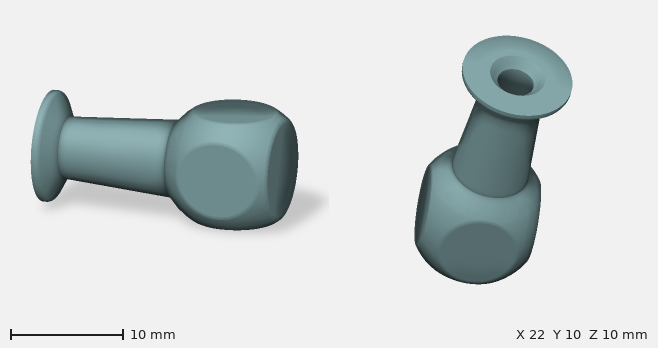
import cadquery as cq
import math

total_length = 22.0
across_flats = 10.0

flange_radius = across_flats / 2
flange_rim_length = 0.6
flange_fillet_radius = 0.45

neck_start = 1.8
neck_end = 12.0
neck_end_radius = 3.5
neck_taper_deg = 4.0

ball_center_x = 17.5
arc_center_offset = 1.0
flat_fillet_radius = 0.5

thread_hole_radius = 1.65
countersink_radius = 2.5
countersink_depth = countersink_radius - thread_hole_radius
hole_depth = 12.0
drill_point_deg = 118.0

neck_start_radius = neck_end_radius - (neck_end - neck_start) * math.tan(math.radians(neck_taper_deg))
ball_arc_radius = math.hypot(ball_center_x - neck_end, neck_end_radius + arc_center_offset)


def ball_radius_at(x):
    """Distance from the axis to the ball surface at position x."""
    return math.sqrt(ball_arc_radius**2 - (x - ball_center_x) ** 2) - arc_center_offset


def revolve_about_x(profile):
    """Turn a closed XY profile a full revolution about the X axis."""
    return profile.close().revolve(360, (0, 0, 0), (1, 0, 0))


def make_flange_and_neck():
    """Disc with a conical back that runs into the widening neck, up to the ball."""
    profile = (
        cq.Workplane("XY")
        .lineTo(0, -flange_radius)
        .lineTo(flange_rim_length, -flange_radius)
        .lineTo(neck_start, -neck_start_radius)
        .lineTo(neck_end, -neck_end_radius)
        .lineTo(neck_end, 0)
    )
    body = revolve_about_x(profile)
    rim_edge = cq.selectors.BoxSelector(
        (flange_rim_length / 2, -across_flats, -across_flats),
        (neck_start / 2, across_flats, across_flats),
        boundingbox=True,
    )
    return body.edges(rim_edge).fillet(flange_fillet_radius)


def make_ball():
    """Ball with a flat end and four side flats, every flat with a rounded border."""
    profile = (
        cq.Workplane("XY")
        .moveTo(neck_end, 0)
        .lineTo(neck_end, -neck_end_radius)
        .threePointArc(
            (ball_center_x, -ball_radius_at(ball_center_x)),
            (total_length, -ball_radius_at(total_length)),
        )
        .lineTo(total_length, 0)
    )
    square_bar = cq.Workplane("YZ").rect(across_flats, across_flats).extrude(total_length)
    ball = revolve_about_x(profile).intersect(square_bar)
    for flat in (">X", ">Y", "<Y", ">Z", "<Z"):
        ball = ball.faces(flat).edges().fillet(flat_fillet_radius)
    return ball


def make_hole():
    """Countersunk blind hole with a drill point, entering from the flange face."""
    point_length = thread_hole_radius / math.tan(math.radians(drill_point_deg / 2))
    profile = (
        cq.Workplane("XY")
        .lineTo(0, -countersink_radius)
        .lineTo(countersink_depth, -thread_hole_radius)
        .lineTo(hole_depth, -thread_hole_radius)
        .lineTo(hole_depth + point_length, 0)
    )
    return revolve_about_x(profile)


result = make_flange_and_neck().union(make_ball()).cut(make_hole())